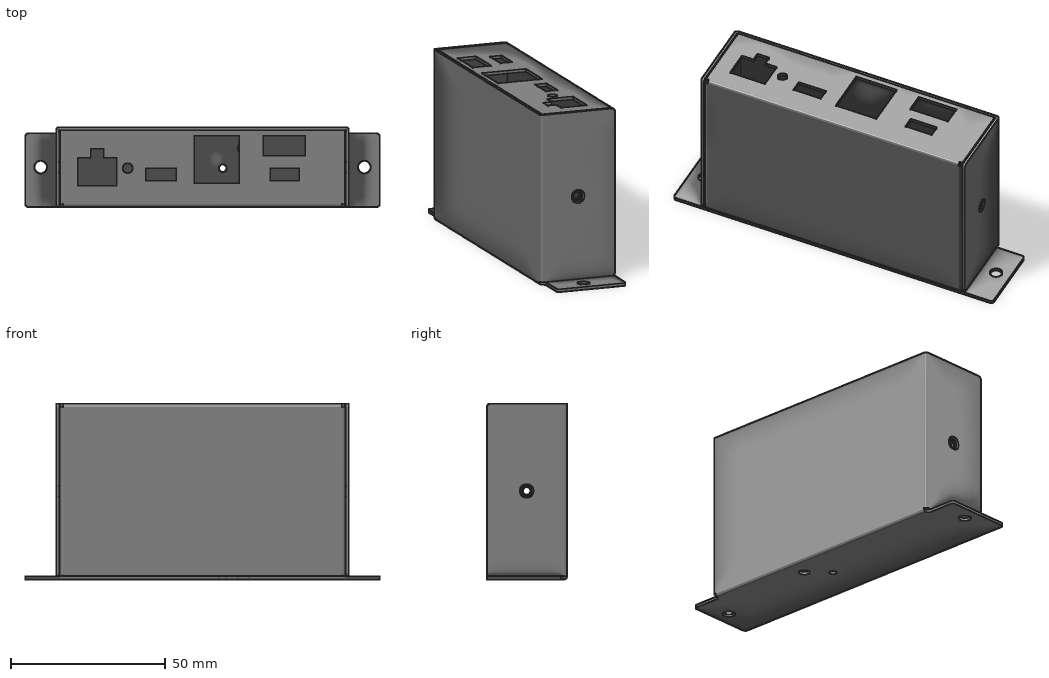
import cadquery as cq

total_width = 115.0
depth = 26.0
height = 57.0
sheet = 1.0
bend_radius = sheet
tab_length = 10.0
box_width = total_width - 2 * tab_length

tab_setback = 2 * sheet
tab_hole_diameter = 4.0
tab_hole_spacing = 105.0
side_hole_diameter = 3.5
countersink_diameter = 4.5
flap_gap = 0.1
floor_small_hole_diameter = 2.4
floor_small_hole_place = (6.5, -0.3)
floor_large_hole_diameter = 3.5
floor_large_hole_place = (13.2, 6.1)

side_clearance = 0.17
top_inset = 0.1
floor_clearance = 0.2
flange_hole_diameter = 2.4
flange_bend_radius = 1.2
cover_width = box_width - 2 * (sheet + side_clearance)

jack_body = (-34.2, -1.5, 12.5, 9.0)
jack_latch_width = 4.3
jack_latch_height = 3.0
left_slot = (-13.5, -2.4, 9.8, 4.0)
right_slot = (26.7, -2.4, 9.4, 4.0)
square_opening = (4.6, 2.4, 14.6, 15.4)
wide_opening = (26.6, 6.9, 13.6, 6.4)
lamp_hole_diameter = 3.2
lamp_hole_place = (-24.3, -0.3)

front_y = -depth / 2
back_y = depth / 2

screw_y = -0.1
screw_height = 28.8


def block(x_range, y_range, z_range):
    """Box spanning the given (low, high) ranges."""
    low = (x_range[0], y_range[0], z_range[0])
    size = (x_range[1] - x_range[0], y_range[1] - y_range[0], z_range[1] - z_range[0])
    return cq.Workplane("XY").box(*size, centered=False).translate(low)


def vertical_hole(diameter, place, bottom, top):
    """Round cutter along Z at an (x, y) place."""
    return cq.Workplane("XY", origin=(*place, bottom)).circle(diameter / 2).extrude(top - bottom)


def cross_hole(diameter):
    """Round cutter along X through both sides at the screw position."""
    profile = cq.Workplane("YZ", origin=(0, screw_y, screw_height)).circle(diameter / 2)
    return profile.extrude(box_width / 2, both=True)


def countersink(side):
    """Conical cutter with 45 degree flanks for the screw hole in the side wall on side -1 or +1."""
    cone_depth = (countersink_diameter - side_hole_diameter) / 2
    cone = cq.Solid.makeCone(
        countersink_diameter / 2,
        side_hole_diameter / 2,
        cone_depth,
        pnt=cq.Vector(side * box_width / 2, screw_y, screw_height),
        dir=cq.Vector(-side, 0, 0),
    )
    return cq.Workplane(obj=cone)


def mirrored_range(side, inner, outer):
    """X range between two distances from the centre, on side -1 or +1."""
    return tuple(sorted((side * inner, side * outer)))


def make_chassis():
    """Back wall, two side walls and a floor that runs out into the mounting tabs."""
    half = box_width / 2
    wall_bottom = sheet + flap_gap

    walls = block((-half, half), (back_y - sheet, back_y), (wall_bottom, height))

    for side in (-1, 1):
        wall = block(
            mirrored_range(side, half - sheet, half), (front_y, back_y), (wall_bottom, height)
        )
        walls = walls.union(wall.edges("|X and <Y").fillet(bend_radius))
    walls = walls.edges("|Z and >Y").fillet(bend_radius)

    tab_back = back_y - tab_setback
    floor = block((-total_width / 2, total_width / 2), (front_y, tab_back), (0, sheet))
    floor = floor.edges("|Z").fillet(bend_radius)

    bend_half = half - sheet
    bend_x = (-bend_half, bend_half)
    floor_bend = block(bend_x, (tab_back, back_y), (0, wall_bottom))
    floor_bend = floor_bend.edges("|X and >Y and <Z").fillet(bend_radius)
    floor_bend = floor_bend.cut(block(bend_x, (tab_back, back_y - sheet), (sheet, wall_bottom)))

    for side in (-1, 1):
        web_x = mirrored_range(side, bend_half, half)
        web = block(web_x, (tab_back, tab_back + sheet), (0, sheet))
        rounding = vertical_hole(2 * sheet, (side * half, tab_back + sheet), 0, sheet)
        floor_bend = floor_bend.union(web.cut(rounding))

    chassis = walls.union(floor_bend).union(floor)
    for side in (-1, 1):
        place = (side * tab_hole_spacing / 2, 0)
        chassis = chassis.cut(vertical_hole(tab_hole_diameter, place, 0, sheet))
    chassis = chassis.cut(vertical_hole(floor_small_hole_diameter, floor_small_hole_place, 0, sheet))
    chassis = chassis.cut(vertical_hole(floor_large_hole_diameter, floor_large_hole_place, 0, sheet))
    chassis = chassis.cut(cross_hole(side_hole_diameter))
    for side in (-1, 1):
        chassis = chassis.cut(countersink(side))
    return chassis


def top_opening(opening):
    """Rectangular cutter through the top sheet of the cover."""
    x, y, size_x, size_y = opening
    return block(
        (x - size_x / 2, x + size_x / 2), (y - size_y / 2, y + size_y / 2), (height - sheet, height)
    )


def jack_opening():
    """Network jack opening: a rectangle with a centred latch notch behind it."""
    x, y, _, size_y = jack_body
    latch = (x, y + (size_y + jack_latch_height) / 2, jack_latch_width, jack_latch_height)
    return top_opening(jack_body).union(top_opening(latch))


def make_cover():
    """Front wall, top and two inner side flanges carrying the screw holes."""
    half = cover_width / 2
    cover_back = back_y - sheet
    cover_bottom = sheet + floor_clearance

    cover = block((-half, half), (front_y, cover_back), (cover_bottom, height))
    cover = cover.edges("|Z and <Y").fillet(flange_bend_radius)
    cavity = block(
        (-half + sheet, half - sheet), (front_y + sheet, cover_back), (cover_bottom, height - sheet)
    )
    cover = cover.cut(cavity)

    bend_corner = block((-half, half), (front_y, front_y + bend_radius), (height - bend_radius, height))
    bend_core = (
        cq.Workplane("YZ", origin=(0, front_y + bend_radius, height - bend_radius))
        .circle(bend_radius)
        .extrude(half, both=True)
    )
    cover = cover.cut(bend_corner.cut(bend_core))

    for side in (-1, 1):
        relief = block(
            mirrored_range(side, half - flange_bend_radius, half),
            (front_y, front_y + sheet),
            (height - sheet, height),
        )
        top_trim = block(
            mirrored_range(side, half - top_inset, half),
            (front_y, cover_back),
            (height - sheet, height),
        )
        cover = cover.cut(relief).cut(top_trim)

    for opening in (left_slot, right_slot, square_opening, wide_opening):
        cover = cover.cut(top_opening(opening))
    cover = cover.cut(jack_opening())
    cover = cover.cut(vertical_hole(lamp_hole_diameter, lamp_hole_place, height - sheet, height))
    return cover.cut(cross_hole(flange_hole_diameter))


chassis = make_chassis()
cover = make_cover()
result = cq.Compound.makeCompound([chassis.val(), cover.val()])